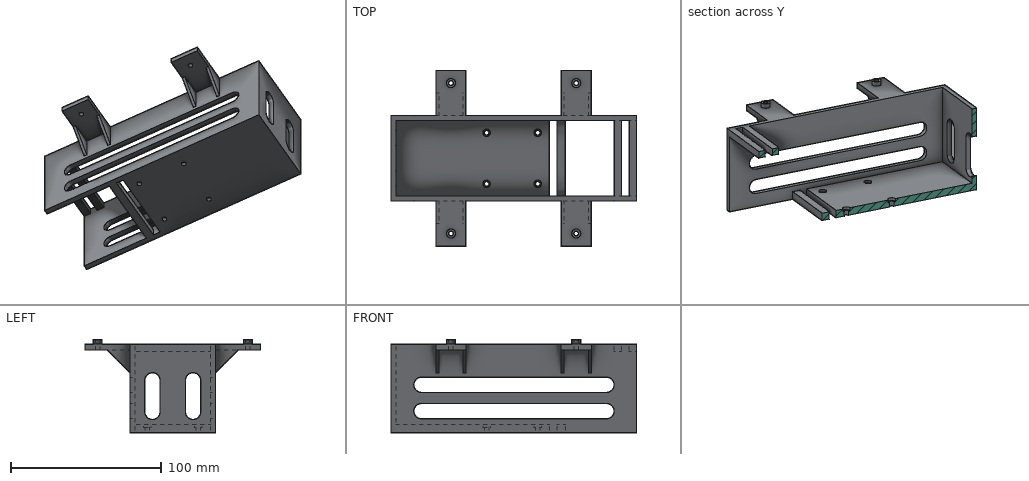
import cadquery as cq

length = 163.5
inner_width = 50.0
wall = 3.5
width = inner_width + 2 * wall
height = 59.0
floor_thickness = 5.5

end_bar_size = 5.0
end_bar_gap = 5.0

floor_plate_end = 105.5
floor_gap = 5.0
floor_strip_width = 5.5

screw_diameter = 3.0
screw_head_diameter = 5.0
screw_head_depth = 2.0
screw_spacing = 34.0
screw_pattern_x = 80.7

slot_width = 10.0
side_slot_start = 15.4
side_slot_length = 133.0
side_slot_heights = (14.5, 32.0)
end_slot_length = 31.0
end_slot_bottom = 9.0
end_slot_spacing = 27.0

arm_width = 20.0
arm_reach = 30.0
arm_thickness = 4.0
first_arm_x = 40.0
arm_spacing = 83.3
arm_positions = (first_arm_x, first_arm_x + arm_spacing)
rib_thickness = 2.0
rib_leg = 15.0
peg_diameter = 6.0
peg_hole_diameter = 3.0
peg_height = 3.0
peg_offset_y = 50.0


def box(x_start, x_end, y_start, y_end, z_start, z_end):
    """Axis-aligned block between the given limits."""
    return cq.Workplane("XY").box(
        x_end - x_start, y_end - y_start, z_end - z_start, centered=False
    ).translate((x_start, y_start, z_start))


def make_tray():
    """Side walls, -X wall, floor plate, floor strip and the two top end bars."""
    half_inner = inner_width / 2
    half_width = width / 2
    tray = box(0, wall, -half_width, half_width, 0, height)
    tray = tray.union(box(0, length, half_inner, half_width, 0, height))
    tray = tray.union(box(0, length, -half_width, -half_inner, 0, height))

    strip_start = floor_plate_end + floor_gap
    for x_start, x_end in ((0, floor_plate_end), (strip_start, strip_start + floor_strip_width)):
        tray = tray.union(box(x_start, x_end, -half_width, half_width, 0, floor_thickness))

    outer_bar_start = length - end_bar_size
    inner_bar_start = outer_bar_start - end_bar_gap - end_bar_size
    for x_start in (inner_bar_start, outer_bar_start):
        x_end = x_start + end_bar_size
        tray = tray.union(box(x_start, x_end, -half_width, half_width, height - end_bar_size, height))
    return tray


def cut_side_slots(body):
    """Long horizontal slots through both side walls."""
    slot_centre_x = side_slot_start + side_slot_length / 2
    cutter = (
        cq.Workplane("XZ")
        .pushPoints([(slot_centre_x, z) for z in side_slot_heights])
        .slot2D(side_slot_length, slot_width)
        .extrude(width / 2, both=True)
    )
    return body.cut(cutter)


def cut_end_slots(body):
    """Upright slots through the -X wall."""
    slot_centre_z = end_slot_bottom + end_slot_length / 2
    cutter = (
        cq.Workplane("YZ")
        .pushPoints([(side * end_slot_spacing / 2, slot_centre_z) for side in (-1, 1)])
        .slot2D(end_slot_length, slot_width, 90)
        .extrude(wall)
    )
    return body.cut(cutter)


def cut_screw_holes(body):
    """Square pattern of counterbored holes in the floor plate, heads on the inside."""
    return (
        body.copyWorkplane(cq.Workplane("XY", origin=(screw_pattern_x, 0, floor_thickness)))
        .rect(screw_spacing, screw_spacing, forConstruction=True)
        .vertices()
        .cboreHole(screw_diameter, screw_head_diameter, screw_head_depth, floor_thickness)
    )


def make_arm(x_centre):
    """Arm on the +Y side: flat plate, two triangular ribs and a bored peg."""
    x_start = x_centre - arm_width / 2
    x_end = x_centre + arm_width / 2
    y_root = width / 2
    plate_bottom = height - arm_thickness
    arm = box(x_start, x_end, y_root, y_root + arm_reach, plate_bottom, height)

    rib = (
        cq.Workplane("YZ")
        .moveTo(y_root, plate_bottom)
        .lineTo(y_root + rib_leg, plate_bottom)
        .lineTo(y_root, plate_bottom - rib_leg)
        .close()
        .extrude(rib_thickness)
    )
    for rib_x in (x_start, x_end - rib_thickness):
        arm = arm.union(rib.translate((rib_x, 0, 0)))

    peg_base = cq.Workplane("XY", origin=(x_centre, peg_offset_y, plate_bottom))
    peg_length = arm_thickness + peg_height
    peg = peg_base.circle(peg_diameter / 2).extrude(peg_length)
    bore = peg_base.circle(peg_hole_diameter / 2).extrude(peg_length)
    return arm.union(peg).cut(bore)


result = make_tray()
result = cut_side_slots(result)
result = cut_end_slots(result)
result = cut_screw_holes(result)
for arm_x in arm_positions:
    arm = make_arm(arm_x)
    result = result.union(arm).union(arm.mirror("XZ"))